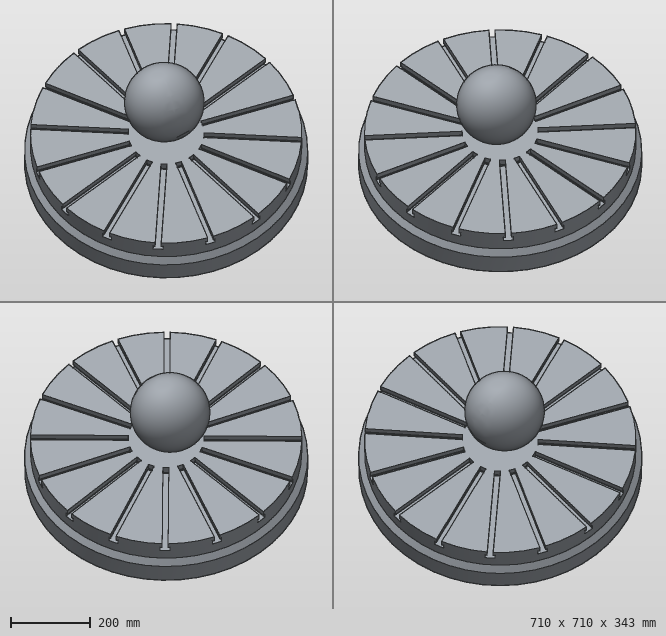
import cadquery as cq

table_radius = 355.0
table_height = 128.0
rim_step = 15.0
rim_height = 55.5
top_radius = table_radius - rim_step

slot_count = 16
slot_angle = 360 / slot_count
slot_inner_radius = 92.0
neck_width = 15.0
neck_depth = 15.0
head_width = 25.0
slot_depth = 26.0

hub_radius = 95.0
hub_depth = 19.0

ball_radius = 100.0
ball_offset_x = -14.0
overall_height = 343.0
ball_center_z = overall_height - ball_radius


def make_table_blank():
    """Revolved table outline, without slots."""
    profile = [
        (0, 0),
        (table_radius, 0),
        (table_radius, rim_height),
        (top_radius, rim_height + rim_step),
        (top_radius, table_height),
        (0, table_height),
    ]
    return cq.Workplane("XZ").polyline(profile).close().revolve(360, (0, 0, 0), (0, 1, 0))


def make_slot_cutter(angle):
    """T-shaped cutter from the flat inner end of a slot to past the upper cylinder."""
    neck_half = neck_width / 2
    head_half = head_width / 2
    head_top = table_height - neck_depth
    floor_z = table_height - slot_depth
    section = [
        (-neck_half, table_height),
        (-neck_half, head_top),
        (-head_half, head_top),
        (-head_half, floor_z),
        (head_half, floor_z),
        (head_half, head_top),
        (neck_half, head_top),
        (neck_half, table_height),
    ]
    cutter = (
        cq.Workplane("YZ", origin=(slot_inner_radius, 0, 0))
        .polyline(section)
        .close()
        .extrude(table_radius - slot_inner_radius)
    )
    return cutter.rotate((0, 0, 0), (0, 0, 1), angle)


def make_hub():
    """Disc that forms the rounded upper part of every slot's inner end."""
    return cq.Workplane("XY", origin=(0, 0, table_height - hub_depth)).circle(hub_radius).extrude(hub_depth)


def make_table():
    table_body = make_table_blank()
    for index in range(slot_count):
        table_body = table_body.cut(make_slot_cutter(index * slot_angle))
    return table_body.union(make_hub()).solids()


def make_ball():
    return cq.Workplane("XY").sphere(ball_radius).translate((ball_offset_x, 0, ball_center_z))


table = make_table()
ball = make_ball()
result = cq.Compound.makeCompound([table.val(), ball.val()])